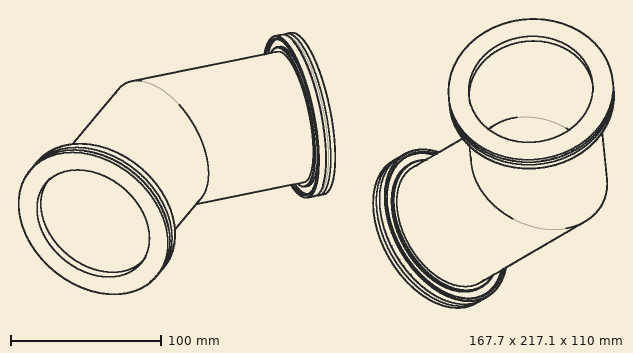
import cadquery as cq
import math

bend_angle = 45.0
leg_length = 104.4
bore_radius = 41.5
tube_radius = 44.5
flange_diameter = 110.0
flange_thickness = 12.0
seat_depth = 6.0

groove_start = 3.3
groove_end = 6.5
groove_taper = 1.3

recess_inner_radius = 47.5
recess_outer_radius = 52.7
recess_depth = 2.0

back_edge_chamfer = 0.5

flange_radius = flange_diameter / 2
half_bend = math.radians(bend_angle / 2)
tube_length = leg_length - seat_depth
miter_reach = tube_radius * math.tan(half_bend)


def turn_to_second_leg(body):
    """Swing a body from the -Y leg to the other leg, half a turn about the bisector of the legs."""
    bisector = (math.cos(half_bend), -math.sin(half_bend), 0)
    return body.rotate((0, 0, 0), bisector, 180)


def make_leg_cylinder(radius):
    """Cylinder along -Y whose inner end is cut off at the miter plane through the origin."""
    cylinder = cq.Workplane("XZ", origin=(0, miter_reach, 0)).circle(radius).extrude(tube_length + miter_reach)
    leg_side = (
        cq.Workplane("XY")
        .rect(4 * tube_radius, 2 * leg_length)
        .extrude(tube_radius, both=True)
        .translate((0, -leg_length, 0))
        .rotate((0, 0, 0), (0, 0, 1), -bend_angle / 2)
    )
    return cylinder.intersect(leg_side)


def make_bent_cylinder(radius):
    """Two cylinders joined in a single miter at the origin."""
    leg = make_leg_cylinder(radius)
    return leg.union(turn_to_second_leg(leg))


def make_tube():
    return make_bent_cylinder(tube_radius).cut(make_bent_cylinder(bore_radius))


def make_flange():
    """Ring on the -Y leg, revolved from its section; sketch Y is the distance from the sealing face."""
    chamfer_start = flange_thickness - back_edge_chamfer
    section = (
        cq.Workplane("XY")
        .moveTo(bore_radius, 0)
        .lineTo(flange_radius, 0)
        .lineTo(flange_radius, groove_start)
        .lineTo(flange_radius - groove_taper, groove_start + groove_taper)
        .tangentArcPoint((flange_radius, groove_end), relative=False)
        .lineTo(flange_radius, chamfer_start)
        .lineTo(flange_radius - back_edge_chamfer, flange_thickness)
        .lineTo(recess_outer_radius + back_edge_chamfer, flange_thickness)
        .lineTo(recess_outer_radius, chamfer_start)
        .lineTo(recess_outer_radius, flange_thickness - recess_depth)
        .lineTo(recess_inner_radius, flange_thickness - recess_depth)
        .lineTo(recess_inner_radius, chamfer_start)
        .lineTo(recess_inner_radius - back_edge_chamfer, flange_thickness)
        .lineTo(tube_radius, flange_thickness)
        .lineTo(tube_radius, seat_depth)
        .lineTo(bore_radius, seat_depth)
        .close()
    )
    ring = section.revolve(360, (0, 0, 0), (0, 1, 0))
    return ring.translate((0, -leg_length, 0))


tube = make_tube()
first_flange = make_flange()
flanges = [first_flange, turn_to_second_leg(first_flange)]

result = cq.Compound.makeCompound([tube.val(), *[flange.val() for flange in flanges]])